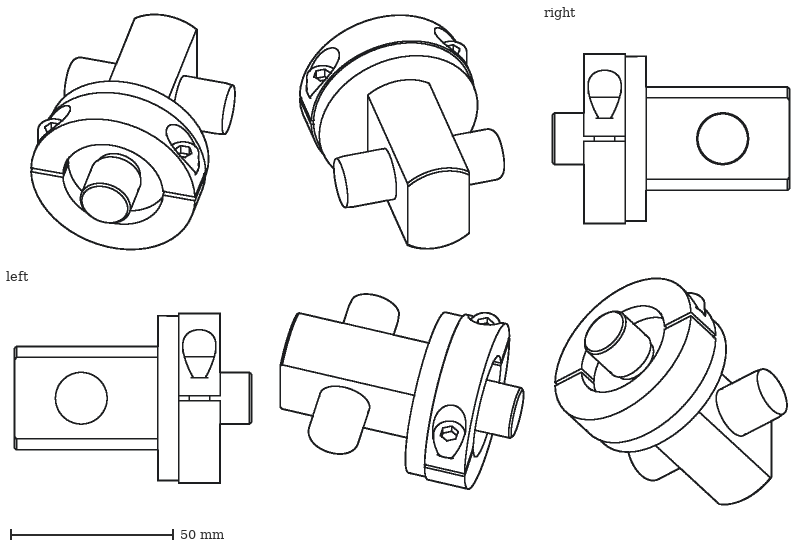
import cadquery as cq

shaft_diameter = 31.9
shaft_length = 44.2
shaft_flat_width = 19.7
shaft_end_chamfer = 0.65

flange_diameter = 50.8
flange_thickness = 6.35

collar_diameter = 52.3
collar_thickness = 12.8
collar_bore_diameter = shaft_diameter
split_gap = 1.5

stub_diameter = 15.9
stub_reach = 9.7
stub_chamfer = 0.65
stub_neck_diameter = 13.95
stub_neck_length = 2.8

pin_diameter = 15.9
pin_length = flange_diameter
pin_setback = 20.6
pin_round = 2.6
pin_taper_length = 2.2
pin_taper_drop = 0.3

screw_offset = 20.6
screw_shank_diameter = 6.3
screw_head_diameter = 9.7
screw_head_top = 12.8
screw_head_round = 0.65
screw_pocket_diameter = 10.2
screw_pocket_floor = 6.35
hex_socket_corners = 5.6
hex_socket_depth = 3.0

plug_depth = 6.35
collar_mid_y = -collar_thickness / 2
shaft_end_y = flange_thickness + shaft_length


def cylinder_y(diameter, y_start, y_end):
    """Cylinder on the Y axis, between two Y positions."""
    return cq.Workplane("XZ", origin=(0, y_end, 0)).circle(diameter / 2).extrude(y_end - y_start)


def cylinder_z(diameter, x, z_start, z_end):
    """Cylinder parallel to Z on the collar's mid plane."""
    base = cq.Workplane("XY", origin=(x, collar_mid_y, z_start))
    return base.circle(diameter / 2).extrude(z_end - z_start)


def make_shaft():
    """Round shaft with two parallel flats and a chamfered free end."""
    round_bar = cylinder_y(shaft_diameter, 0, shaft_end_y).faces(">Y").chamfer(shaft_end_chamfer)
    flats = cq.Workplane("XY").box(shaft_flat_width, 2 * shaft_end_y, shaft_diameter)
    return round_bar.intersect(flats)


def make_plug_and_stub():
    """Plug filling the inner part of the bore, with a stub on a narrower neck."""
    neck_end_y = -plug_depth - stub_neck_length
    plug = cylinder_y(collar_bore_diameter, -plug_depth, 0)
    neck = cylinder_y(stub_neck_diameter, neck_end_y, -plug_depth)
    stub = cylinder_y(stub_diameter, -collar_thickness - stub_reach, neck_end_y)
    stub = stub.faces("<Y").chamfer(stub_chamfer)
    return plug.union(neck).union(stub)


def make_pin():
    """Cross pin: rounded at the -X end, slightly tapered at the +X end."""
    radius = pin_diameter / 2
    half_length = pin_length / 2
    pin_y = shaft_end_y - pin_setback
    half_profile = (
        cq.Workplane("XY", origin=(0, pin_y, 0))
        .moveTo(-half_length, 0)
        .lineTo(-half_length, radius - pin_round)
        .radiusArc((-half_length + pin_round, radius), pin_round)
        .lineTo(half_length - pin_taper_length, radius)
        .lineTo(half_length, radius - pin_taper_drop)
        .lineTo(half_length, 0)
        .close()
    )
    return half_profile.revolve(360, (0, 0), (1, 0))


def make_collar():
    """Split ring with a screw pocket opening upward on each side."""
    collar = cylinder_y(collar_diameter, -collar_thickness, 0)
    collar = collar.cut(cylinder_y(collar_bore_diameter, -collar_thickness, 0))
    split = cq.Workplane("XY", origin=(0, collar_mid_y, 0))
    collar = collar.cut(split.box(collar_diameter, collar_thickness, split_gap))
    for x in (-screw_offset, screw_offset):
        pocket = cylinder_z(screw_pocket_diameter, x, screw_pocket_floor, collar_diameter / 2)
        collar = collar.cut(pocket)
    return collar


def make_screw(x):
    """Socket head screw whose shank bridges the split."""
    head = cylinder_z(screw_head_diameter, x, screw_pocket_floor, screw_head_top)
    head = head.faces(">Z").edges().fillet(screw_head_round)
    socket = (
        cq.Workplane("XY", origin=(x, collar_mid_y, screw_head_top))
        .polygon(6, hex_socket_corners)
        .extrude(-hex_socket_depth)
    )
    shank = cylinder_z(screw_shank_diameter, x, -screw_pocket_floor, screw_pocket_floor)
    return head.cut(socket).union(shank)


result = cylinder_y(flange_diameter, 0, flange_thickness)
for body in (make_shaft(), make_plug_and_stub(), make_pin(), make_collar()):
    result = result.union(body)
for screw_x in (-screw_offset, screw_offset):
    result = result.union(make_screw(screw_x))